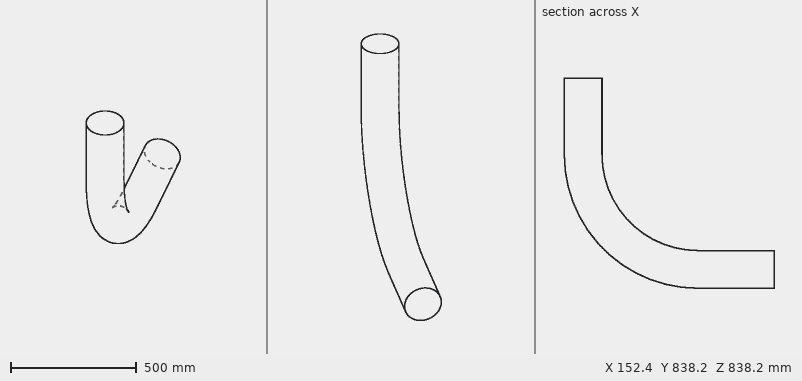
import cadquery as cq
import math

outer_diameter = 152.4
inner_diameter = 148.18
bend_radius = 3 * outer_diameter
leg_length = 2 * outer_diameter

axis_length = bend_radius + leg_length
bend_middle = bend_radius * (1 - math.cos(math.radians(45)))


def make_centreline():
    """Path from the top of the upright leg, round the bend, to the end of the level leg."""
    return (
        cq.Workplane("YZ")
        .moveTo(0, axis_length)
        .lineTo(0, bend_radius)
        .threePointArc((bend_middle, bend_middle), (bend_radius, 0))
        .lineTo(axis_length, 0)
    )


def make_pipe():
    """Ring-shaped cross-section swept along the centreline, open at both ends."""
    return (
        cq.Workplane("XY", origin=(0, 0, axis_length))
        .circle(outer_diameter / 2)
        .circle(inner_diameter / 2)
        .sweep(make_centreline())
    )


result = make_pipe()